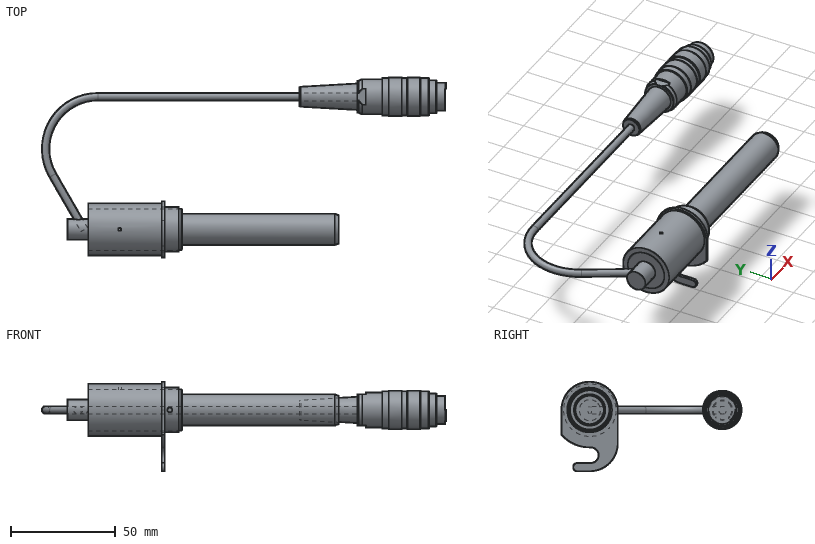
import cadquery as cq
import math


SLEEVE_D = 25.1
SLEEVE_L = 35.2
COLLAR_D = 21.5
COLLAR_L = 8.1
CORE_D = 20.0
TOP_HOLE_D = 1.5
TOP_HOLE_X = 15.0
SIDE_HOLE_D = 2.3
SIDE_HOLE_X = SLEEVE_L + 3.9

STUB_D = 10.0
STUB_L = 9.9
CORE_L = SLEEVE_L + COLLAR_L + 1.7
CORE_CHAMFER = 0.5
ROD_D = 15.0
ROD_TIP_D = 13.5
ROD_TIP_L = 2.0
ROD_END_X = 119.8

PLATE_T = 1.5
PLATE_R = 13.5
LOBE_R = 18.0
SLOT_R = 3.7
SLOT_Y = 0.5
HOOK_R = 13.5
HOOK_BOTTOM_Z = -29.4
HOOK_TIP_Y = -8.0

CABLE_D = 3.7
PLUG_Y = 63.4
BEND_R = 25.0
BEND_X = 4.6
SLANT_ANGLE = 60.0

BOOT_X = 100.9
BOOT_REAR_D = 9.7
BOOT_FRONT_D = 12.8
BOOT_CHAMFER_L = 0.8
BOOT_CHAMFER_R = 0.4

PLUG_X = 128.7
PLUG_REAR_D = 15.5
PLUG_BACK_D = 16.8
PLUG_RIM_L = 0.5
PLUG_CONE_L = 1.7
PLUG_BODY_D = 18.0
PLUG_BODY_X = 140.5
PLUG_BODY_END_X = 163.1
PLUG_RING_D = 18.5
RING_1_X = 143.8
RING_1_END_X = 149.8
RING_2_X = 152.3
RING_2_END_X = 159.0
PLUG_BEVEL_L = 0.48
PLUG_NECK_D = 15.9
PLUG_NECK_END_X = 166.6
PLUG_NOSE_D = 13.5
PLUG_NOSE_END_X = 170.7
FLAT_WIDTH = 15.0
FLAT_END_X = 132.8
KEY_L = 0.48
KEY_WALL = 0.5
KEY_ANGLE = 53.0


def cylinder(x_start, x_end, diameter, y=0.0):
    """Cylinder along X between two stations."""
    base = cq.Workplane("YZ", origin=(x_start, y, 0))
    return base.circle(diameter / 2).extrude(x_end - x_start)


def turned(stations, y=0.0):
    """Solid of revolution about an axis parallel to X, from (x, diameter) stations."""
    outline = [(stations[0][0], 0)]
    outline += [(x, diameter / 2) for x, diameter in stations]
    outline.append((stations[-1][0], 0))
    profile = cq.Workplane("XY").polyline(outline).close()
    return profile.revolve(360, (0, 0, 0), (1, 0, 0)).translate((0, y, 0))


def make_sleeve():
    front_x = SLEEVE_L + COLLAR_L
    sleeve = cylinder(0, SLEEVE_L, SLEEVE_D).union(cylinder(SLEEVE_L, front_x, COLLAR_D))
    top_hole = cq.Workplane("XY").center(TOP_HOLE_X, 0).circle(TOP_HOLE_D / 2).extrude(SLEEVE_D)
    side_hole = cq.Workplane("XZ").center(SIDE_HOLE_X, 0).circle(SIDE_HOLE_D / 2).extrude(SLEEVE_D)
    return sleeve.cut(cylinder(0, front_x, CORE_D)).cut(top_hole).cut(side_hole)


def make_core(cable):
    """Stub, core and rod in one piece, with a hole in the stub for the cable end."""
    core = turned([
        (-STUB_L, STUB_D),
        (0, STUB_D),
        (0, CORE_D),
        (CORE_L - CORE_CHAMFER, CORE_D),
        (CORE_L, CORE_D - 2 * CORE_CHAMFER),
        (CORE_L, ROD_D),
        (ROD_END_X - ROD_TIP_L, ROD_D),
        (ROD_END_X, ROD_TIP_D),
    ])
    return core.cut(cable)


def make_hook_plate():
    """Plate with a round top, a lobe edge about the probe axis, and a slot above a hook arm."""
    lobe_z = -math.sqrt(LOBE_R**2 - PLATE_R**2)
    slot_z = -math.sqrt((LOBE_R + SLOT_R) ** 2 - SLOT_Y**2)
    to_lobe = LOBE_R / (LOBE_R + SLOT_R)
    lobe_end = (SLOT_Y * to_lobe, slot_z * to_lobe)
    lobe_middle_angle = (math.atan2(lobe_z, -PLATE_R) + math.atan2(lobe_end[1], lobe_end[0])) / 2
    lobe_middle = (LOBE_R * math.cos(lobe_middle_angle), LOBE_R * math.sin(lobe_middle_angle))

    arm_top_z = slot_z - SLOT_R
    tip_r = (arm_top_z - HOOK_BOTTOM_Z) / 2
    tip_flat_y = HOOK_TIP_Y + tip_r
    hook_y = PLATE_R - HOOK_R
    hook_z = HOOK_BOTTOM_Z + HOOK_R
    diagonal = math.cos(math.pi / 4)

    outline = (
        cq.Workplane("YZ", origin=(SLEEVE_L, 0, 0))
        .moveTo(PLATE_R, 0)
        .threePointArc((0, PLATE_R), (-PLATE_R, 0))
        .lineTo(-PLATE_R, lobe_z)
        .threePointArc(lobe_middle, lobe_end)
        .threePointArc((SLOT_Y + SLOT_R, slot_z), (SLOT_Y, arm_top_z))
        .lineTo(tip_flat_y, arm_top_z)
        .threePointArc((HOOK_TIP_Y, arm_top_z - tip_r), (tip_flat_y, HOOK_BOTTOM_Z))
        .lineTo(hook_y, HOOK_BOTTOM_Z)
        .threePointArc((hook_y + HOOK_R * diagonal, hook_z - HOOK_R * diagonal), (PLATE_R, hook_z))
        .close()
    )
    return outline.extrude(PLATE_T).cut(cylinder(SLEEVE_L, SLEEVE_L + PLATE_T, COLLAR_D))


def make_cable():
    """Round cable from the rear of the plug to the probe axis inside the stub."""
    slant = math.radians(SLANT_ANGLE)
    bend_y = PLUG_Y - BEND_R
    slant_start = (BEND_X - BEND_R * math.sin(slant), bend_y - BEND_R * math.cos(slant))
    slant_end = (slant_start[0] + slant_start[1] / math.tan(slant), 0)
    path = (
        cq.Workplane("XY")
        .moveTo(PLUG_X, PLUG_Y)
        .lineTo(BEND_X, PLUG_Y)
        .threePointArc((BEND_X - BEND_R, bend_y), slant_start)
        .lineTo(*slant_end)
    )
    return cq.Workplane("YZ", origin=(PLUG_X, PLUG_Y, 0)).circle(CABLE_D / 2).sweep(path)


def make_boot():
    boot = turned([
        (BOOT_X, BOOT_REAR_D - 2 * BOOT_CHAMFER_R),
        (BOOT_X + BOOT_CHAMFER_L, BOOT_REAR_D),
        (PLUG_X, BOOT_FRONT_D),
    ], PLUG_Y)
    return boot.cut(cylinder(BOOT_X, PLUG_X, CABLE_D, PLUG_Y))


def make_plug_key():
    """Short segment of the nose's rim that stands out from its front face."""
    outer_r = PLUG_NOSE_D / 2
    inner_r = outer_r - KEY_WALL
    half = math.radians(KEY_ANGLE / 2)
    full = math.radians(KEY_ANGLE)
    return (
        cq.Workplane("YZ", origin=(PLUG_NOSE_END_X, PLUG_Y, 0))
        .moveTo(inner_r, 0)
        .lineTo(outer_r, 0)
        .threePointArc(
            (outer_r * math.cos(half), -outer_r * math.sin(half)),
            (outer_r * math.cos(full), -outer_r * math.sin(full)),
        )
        .lineTo(inner_r * math.cos(full), -inner_r * math.sin(full))
        .threePointArc((inner_r * math.cos(half), -inner_r * math.sin(half)), (inner_r, 0))
        .close()
        .extrude(KEY_L)
    )


def make_plug():
    bevel_d = PLUG_RING_D - PLUG_BODY_D
    plug = turned([
        (PLUG_X, PLUG_REAR_D),
        (PLUG_X + PLUG_RIM_L, PLUG_REAR_D),
        (PLUG_X + PLUG_RIM_L + PLUG_CONE_L, PLUG_BACK_D),
        (PLUG_BODY_X, PLUG_BACK_D),
        (PLUG_BODY_X, PLUG_BODY_D),
        (RING_1_X, PLUG_BODY_D),
        (RING_1_X, PLUG_RING_D),
        (RING_1_END_X, PLUG_RING_D),
        (RING_1_END_X, PLUG_BODY_D),
        (RING_2_X, PLUG_BODY_D),
        (RING_2_X + PLUG_BEVEL_L, PLUG_RING_D),
        (RING_2_END_X - PLUG_BEVEL_L, PLUG_RING_D),
        (RING_2_END_X, PLUG_BODY_D),
        (PLUG_BODY_END_X - PLUG_BEVEL_L, PLUG_BODY_D),
        (PLUG_BODY_END_X, PLUG_BODY_D - bevel_d),
        (PLUG_BODY_END_X, PLUG_NECK_D),
        (PLUG_NECK_END_X - PLUG_BEVEL_L, PLUG_NECK_D),
        (PLUG_NECK_END_X, PLUG_NECK_D - bevel_d),
        (PLUG_NECK_END_X, PLUG_NOSE_D),
        (PLUG_NOSE_END_X, PLUG_NOSE_D),
    ], PLUG_Y)
    for side in (1, -1):
        flat_cut = cq.Workplane("XY").box(
            FLAT_END_X - PLUG_X, PLUG_BODY_D, PLUG_BODY_D, centered=(False, True, True)
        )
        flat_z = side * (FLAT_WIDTH + PLUG_BODY_D) / 2
        plug = plug.cut(flat_cut.translate((PLUG_X, PLUG_Y, flat_z)))
    return plug.union(make_plug_key())


cable = make_cable()
sleeve = make_sleeve()
core = make_core(cable)
hook_plate = make_hook_plate()
boot = make_boot()
plug = make_plug()

result = cq.Compound.makeCompound([
    sleeve.val(),
    core.val(),
    hook_plate.val(),
    cable.val(),
    boot.val(),
    plug.val(),
])